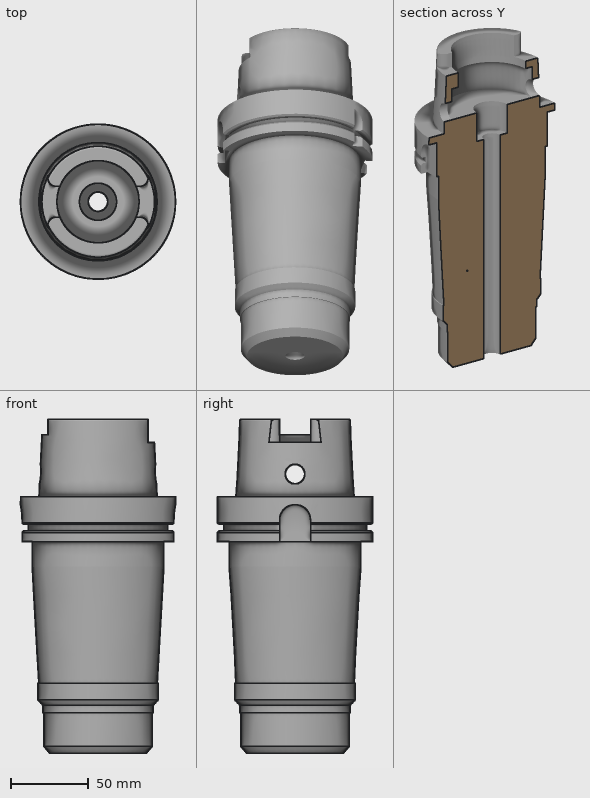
import cadquery as cq


top_z = 50.0
bottom_z = -165.6
flange_bottom_z = -29.0
body_cone_top_z = -45.2
body_cone_bottom_z = -120.2
collar_chamfer_top_z = -131.0
collar_bottom_z = -134.4
nut_top_z = -139.5
nut_chamfer_top_z = -161.0

shank_base_r = 38.15
shank_taper = 0.1
shank_top_r = shank_base_r - top_z * shank_taper / 2
shank_top_fillet = 1.5
flange_r = 50.0
body_r = 42.5
body_cone_end_r = 38.25
collar_r = 38.9
neck_r = 35.6
nut_r = 35.0
nut_end_r = 31.0

groove_r = 46.1
groove_upper_lip_r = 48.7
groove_lower_lip_r = 48.7
groove_upper_edge_z = -17.0
groove_ceiling_z = -18.0
groove_floor_z = -21.9
groove_lower_edge_z = -23.2

mouth_r = 26.5
mouth_bottom_z = 29.6
chamber_r = 31.5
chamber_floor_z = 8.3
counterbore_r = 12.0
counterbore_depth = 20.0
through_hole_r = 6.2

drive_slot_width = 20.0
drive_slot_depths = {-1: 10.0, 1: 15.0}
lobe_half_length = 32.3
lobe_corner_r = 5.0
lobe_shoulder_half_width = 20.0

cross_hole_r = 6.2
cross_hole_z = 14.5

keyway_width = 20.0
keyway_floor_x = 44.0
keyway_top_z = -5.2

notch_radius = 8.0
notch_wall_x = -31.9
notch_edge_y = 31.8
notch_center_z = -13.7

clearance = 5.0


def turned_body():
    outline = [
        (0, top_z),
        (shank_top_r, top_z),
        (shank_base_r, 0),
        (flange_r, 0),
        (flange_r, groove_upper_edge_z),
        (groove_upper_lip_r, groove_ceiling_z),
        (groove_r, groove_ceiling_z),
        (groove_r, groove_floor_z),
        (groove_lower_lip_r, groove_floor_z),
        (flange_r, groove_lower_edge_z),
        (flange_r, flange_bottom_z),
        (body_r, flange_bottom_z),
        (body_r, body_cone_top_z),
        (body_cone_end_r, body_cone_bottom_z),
        (collar_r, body_cone_bottom_z),
        (collar_r, collar_chamfer_top_z),
        (neck_r, collar_bottom_z),
        (neck_r, nut_top_z),
        (nut_r, nut_top_z),
        (nut_r, nut_chamfer_top_z),
        (nut_end_r, bottom_z),
        (0, bottom_z),
    ]
    solid = cq.Workplane("XZ").polyline(outline).close().revolve(360, (0, 0), (0, 1))
    return solid.faces(">Z").edges().fillet(shank_top_fillet)


def cylinder(radius, z_low, z_high):
    return cq.Workplane("XY").workplane(offset=z_low).circle(radius).extrude(z_high - z_low)


def stepped_bore():
    bore = cylinder(through_hole_r, bottom_z - clearance, top_z)
    bore = bore.union(cylinder(counterbore_r, chamber_floor_z - counterbore_depth, top_z))
    bore = bore.union(cylinder(chamber_r, chamber_floor_z, mouth_bottom_z))
    return bore.union(cylinder(mouth_r, chamber_floor_z, top_z + clearance))


def drive_slot(side):
    """T-shaped cut on one side; its inner corners round the ends of the two lobes."""
    half = drive_slot_width / 2
    outer_x = shank_base_r + clearance
    depth = drive_slot_depths[side]
    outline = [
        (0, -half),
        (lobe_half_length, -half),
        (lobe_half_length, -lobe_shoulder_half_width),
        (outer_x, -lobe_shoulder_half_width),
        (outer_x, lobe_shoulder_half_width),
        (lobe_half_length, lobe_shoulder_half_width),
        (lobe_half_length, half),
        (0, half),
    ]
    slot = cq.Workplane("XY").workplane(offset=top_z - depth).polyline(outline).close()
    slot = slot.extrude(depth + clearance)
    for y_side in (-1, 1):
        corner = cq.selectors.NearestToPointSelector((lobe_half_length, y_side * half, top_z))
        slot = slot.edges("|Z").edges(corner).fillet(lobe_corner_r)
    if side < 0:
        slot = slot.mirror("YZ")
    return slot


def cross_hole():
    hole = cq.Workplane("YZ").center(0, cross_hole_z).circle(cross_hole_r)
    return hole.extrude(shank_base_r + clearance, both=True)


def round_topped_cutter(center_y, center_z, radius, wall_x, side):
    """Slot cut inward along X to wall_x, with a half-round top, open below the flange."""
    length = side * (flange_r + clearance) - wall_x
    height = center_z - flange_bottom_z
    profile = (
        cq.Workplane("YZ", origin=(wall_x, center_y, center_z))
        .moveTo(-radius, -height)
        .lineTo(-radius, 0)
        .threePointArc((0, radius), (radius, 0))
        .lineTo(radius, -height)
        .close()
    )
    return profile.extrude(length)


def keyway(side):
    radius = keyway_width / 2
    return round_topped_cutter(0, keyway_top_z - radius, radius, side * keyway_floor_x, side)


def corner_notch():
    return round_topped_cutter(notch_edge_y + notch_radius, notch_center_z, notch_radius, notch_wall_x, -1)


result = turned_body().cut(stepped_bore()).cut(cross_hole()).cut(corner_notch())
for x_side in (-1, 1):
    result = result.cut(drive_slot(x_side)).cut(keyway(x_side))